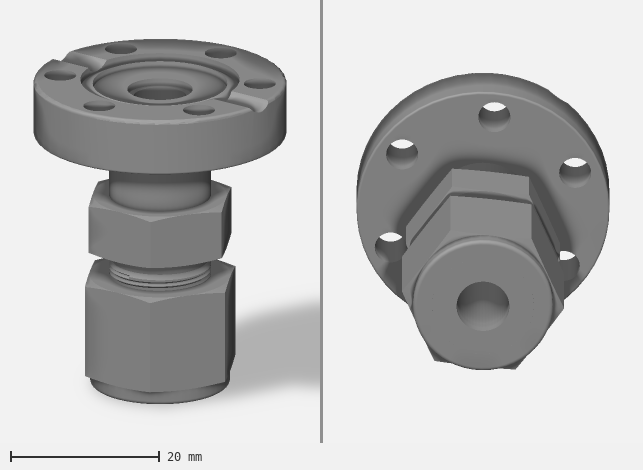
import cadquery as cq
import math

overall_height = 43.1
flange_bottom = 35.43
hex_top = 26.72
hex_bottom = 19.5
thread_top = 17.55
nut_top = 15.4
nut_hex_bottom = 2.03

flange_diameter = 34.0
flange_top_round = 0.5
flange_bottom_round = 0.3
bolt_count = 6
first_bolt_angle = 90.0
bolt_hole_diameter = 4.3
bolt_circle_diameter = 27.02

recess_diameter = 21.4
knife_edge_diameter = 18.1
recess_floor_diameter = 17.95
recess_rim_depth = 1.3
knife_edge_depth = 0.55
recess_floor_depth = 1.4

groove_width = 4.05
groove_depth = 1.08

bore_diameter = 7.1
counterbore_diameter = 8.8
counterbore_depth = 1.0
tube_diameter = 13.7
neck_diameter = 12.9

thread_pitch = 0.65
thread_turns = 3
thread_depth = 0.35
thread_groove_width = 0.55
thread_lead_in = 0.65
thread_groove_end = 16.9
thread_end_angle = -90.0
thread_overcut = 0.15

fitting_flats = 18.0
nut_flats = 19.0
hex_corner_drop = 0.35

collar_diameter = 18.8
collar_round = 0.5


def cylinder(diameter, bottom, top):
    return cq.Workplane("XY").workplane(offset=bottom).circle(diameter / 2).extrude(top - bottom)


def hexagon(across_flats, bottom, top):
    """Hexagonal prism with corners on the X axis, coned off at both ends down to the flats."""
    height = top - bottom
    corner_radius = across_flats / math.sqrt(3)
    flat_radius = across_flats / 2
    prism = cq.Workplane("XY").workplane(offset=bottom).polygon(6, 2 * corner_radius).extrude(height)
    envelope = (
        cq.Workplane("XZ")
        .moveTo(0, bottom)
        .lineTo(flat_radius, bottom)
        .lineTo(corner_radius, bottom + hex_corner_drop)
        .lineTo(corner_radius, top - hex_corner_drop)
        .lineTo(flat_radius, top)
        .lineTo(0, top)
        .close()
        .revolve(360, (0, 0, 0), (0, 1, 0))
    )
    return prism.intersect(envelope)


def make_flange():
    flange = cylinder(flange_diameter, flange_bottom, overall_height)
    flange = flange.faces(">Z").edges().fillet(flange_top_round)
    return flange.faces("<Z").edges().fillet(flange_bottom_round)


def make_shank():
    """Tube, neck and threaded end as one turned profile, with a conical lead-in to the thread."""
    tube_radius = tube_diameter / 2
    neck_radius = neck_diameter / 2
    return (
        cq.Workplane("XZ")
        .moveTo(0, 0)
        .lineTo(tube_radius, 0)
        .lineTo(tube_radius, thread_top - thread_lead_in)
        .lineTo(neck_radius, thread_top)
        .lineTo(neck_radius, hex_bottom)
        .lineTo(tube_radius, hex_bottom)
        .lineTo(tube_radius, flange_bottom)
        .lineTo(0, flange_bottom)
        .close()
        .revolve(360, (0, 0, 0), (0, 1, 0))
    )


def thread_groove():
    """Right-handed V groove wound around the shank."""
    root_radius = tube_diameter / 2 - thread_depth
    outer_radius = tube_diameter / 2 + thread_overcut
    half_width = thread_groove_width / 2 * (outer_radius - root_radius) / thread_depth
    length = thread_pitch * thread_turns
    helix = cq.Workplane(cq.Wire.makeHelix(thread_pitch, length, root_radius))
    groove = (
        cq.Workplane("XZ")
        .polyline([(root_radius, 0), (outer_radius, half_width), (outer_radius, -half_width)])
        .close()
        .sweep(helix, isFrenet=True)
    )
    return groove.translate((0, 0, thread_groove_end - length))


def sealing_recess():
    """Recess whose floor is ringed by a knife edge that slopes down to the outer wall."""
    rim_radius = recess_diameter / 2
    return (
        cq.Workplane("XZ")
        .moveTo(0, overall_height)
        .lineTo(rim_radius, overall_height)
        .lineTo(rim_radius, overall_height - recess_rim_depth)
        .lineTo(knife_edge_diameter / 2, overall_height - knife_edge_depth)
        .lineTo(recess_floor_diameter / 2, overall_height - recess_floor_depth)
        .lineTo(0, overall_height - recess_floor_depth)
        .close()
        .revolve(360, (0, 0, 0), (0, 1, 0))
    )


def leak_check_grooves():
    """Groove along X on both sides of the recess, clear of the knife edge."""
    radius = ((groove_width / 2) ** 2 + groove_depth**2) / (2 * groove_depth)
    groove = (
        cq.Workplane("YZ")
        .center(0, overall_height - groove_depth + radius)
        .circle(radius)
        .extrude(flange_diameter / 2, both=True)
    )
    keep = cylinder(recess_diameter, flange_bottom, overall_height)
    return groove.cut(keep)


def bolt_holes():
    return (
        cq.Workplane("XY")
        .workplane(offset=flange_bottom)
        .polarArray(bolt_circle_diameter / 2, first_bolt_angle, 360, bolt_count)
        .circle(bolt_hole_diameter / 2)
        .extrude(overall_height - flange_bottom)
    )


def make_fitting():
    threaded_shank = make_shank().cut(thread_groove())
    threaded_shank = threaded_shank.rotate((0, 0, 0), (0, 0, 1), thread_end_angle)
    fitting = threaded_shank.union(hexagon(fitting_flats, hex_bottom, hex_top))
    fitting = fitting.union(make_flange())
    fitting = fitting.cut(sealing_recess()).cut(leak_check_grooves()).cut(bolt_holes())
    recess_floor = overall_height - recess_floor_depth
    counterbore = cylinder(counterbore_diameter, recess_floor - counterbore_depth, recess_floor)
    bore = cylinder(bore_diameter, 0, overall_height)
    return fitting.cut(counterbore).cut(bore)


def make_nut():
    """Hexagonal nut with a round collar, bored to fit the threaded end of the fitting."""
    collar = cylinder(collar_diameter, 0, nut_hex_bottom)
    collar = collar.faces("<Z").edges().fillet(collar_round)
    nut = hexagon(nut_flats, nut_hex_bottom, nut_top).union(collar)
    return nut.cut(cylinder(tube_diameter, 0, nut_top))


fitting = make_fitting()
nut = make_nut()
result = cq.Compound.makeCompound([*fitting.solids().vals(), *nut.solids().vals()])